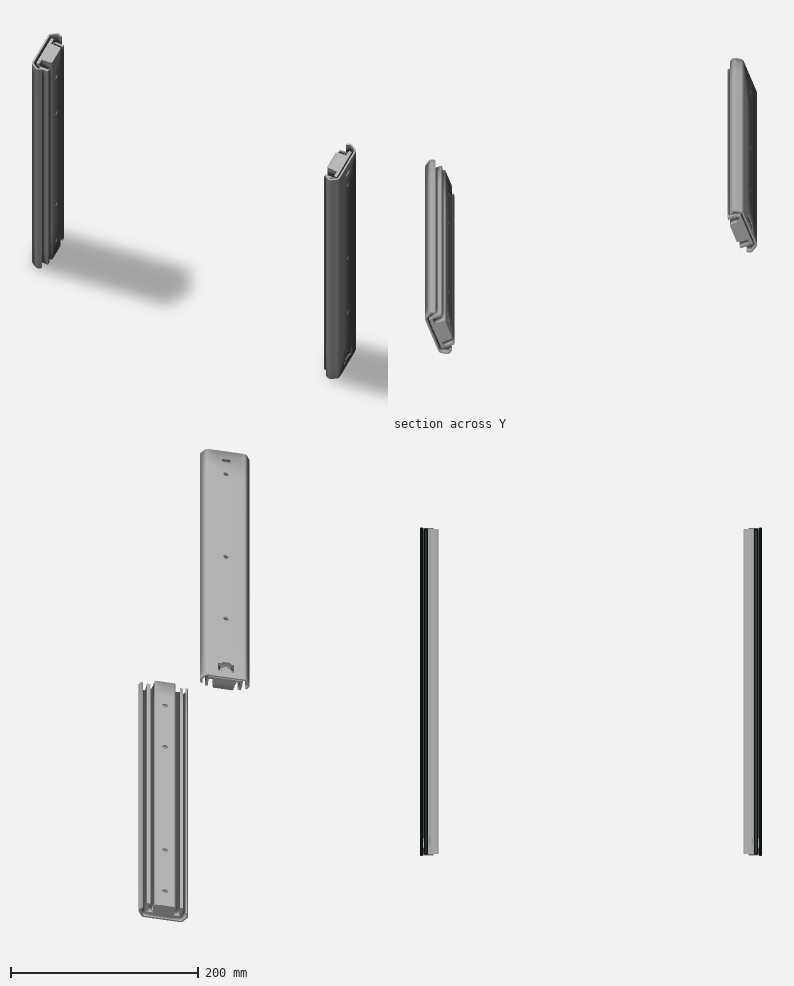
import cadquery as cq
import math

OVERALL_WIDTH = 364.0
OUTER_HEIGHT = 350.0
OUTER_FACE_X = -OVERALL_WIDTH / 2
OUTER_TOP_Z = OUTER_HEIGHT / 2

OUTER_THICKNESS = 2.0
OUTER_SPAN_HALF = 27.0
SLOPE_ANGLE = 33.0
CREST_DEPTH = 9.0
LIP_END_DEPTH = 14.0
OUTER_BEND = 4.0

RAIL_END_GAP = 1.5
MIDDLE_DEPTH = 4.0
MIDDLE_WEB = 3.3
MIDDLE_WEB_HALF = 18.5
RACE_START_DEPTH = 8.5
RACE_OUTER_HALF = 19.5
RACE_THICKNESS = 2.5
RACE_END_DEPTH = 18.5
RACE_LIP = 1.0
FLANGE_TOP_DROP = 7.0
FLANGE_BOTTOM_GAP = 2.5

INNER_FACE_DEPTH = 19.3
INNER_HALF = 11.5
INNER_WEB = 1.5
INNER_FLANGE = 3.0
INNER_CORNER = 1.0
TAPER_DEPTH = 15.0
TAPER_DROP = 0.5
RIDGE_HEIGHT = 1.0
RIDGE_DEPTH = 9.5

CORE_SEAT = 1.0

HOLE_DIAMETER = 6.0
HOLE_SMALL_DIAMETER = 4.0
OUTER_HOLE_DROPS = (35.0, 163.0, 259.0)
INNER_HOLE_DROPS = (38.2, 102.3, 262.5, 326.0)

SLOT_WIDTH = 9.5
SLOT_HEIGHT = 4.0
SLOT_TOP_DROP = 12.5
SLOT_CORNER = 1.5

WINDOW_HALF = 8.7
WINDOW_BOTTOM_RISE = 8.0
WINDOW_TOP_RISE = 20.5
NECK_HALF = 4.7
NECK_TOP_RISE = 23.0
SILL_RISE = 11.0

CATCH_HALF = 8.5
CATCH_APEX_RISE = 18.2
CATCH_EAVE_RISE = 11.3
CATCH_ARCH_RISE = 12.5

SLIT_START = 6.2
SLIT_END = 7.5

RAIL_TOP_Z = OUTER_TOP_Z - RAIL_END_GAP
RAIL_BOTTOM_Z = -RAIL_TOP_Z
MIDDLE_INNER_DEPTH = MIDDLE_DEPTH + MIDDLE_WEB
INNER_WEB_DEPTH = INNER_FACE_DEPTH - INNER_WEB
CORE_HALF = INNER_HALF - INNER_FLANGE


def prism(points, bottom_z, top_z):
    """Upright prism from (depth, y) points."""
    placed = [(OUTER_FACE_X + depth, y) for depth, y in points]
    base = cq.Workplane("XY").workplane(offset=bottom_z)
    return base.polyline(placed).close().extrude(top_z - bottom_z)


def bar(start_depth, end_depth, half_width, bottom_z, top_z):
    """Upright bar, centred on y = 0."""
    points = [
        (start_depth, -half_width),
        (end_depth, -half_width),
        (end_depth, half_width),
        (start_depth, half_width),
    ]
    return prism(points, bottom_z, top_z)


def web_plane(depth):
    """Plane parallel to the webs, with y and z as its axes."""
    return cq.Workplane("YZ").workplane(offset=OUTER_FACE_X + depth)


def web_plate(half_outline, start_depth, end_depth):
    """Symmetric plate between two depths; the outline is (y, rise above the outer bottom end)."""
    right = [(y, rise - OUTER_TOP_Z) for y, rise in half_outline]
    left = [(-y, z) for y, z in reversed(right) if y > 0]
    return web_plane(start_depth).polyline(right + left).close().extrude(end_depth - start_depth)


def hole_circles(drops, depth):
    """Hole outlines on a plane at the given depth."""
    centres = [(0, OUTER_TOP_Z - drop) for drop in drops]
    return web_plane(depth).pushPoints(centres).circle(HOLE_DIAMETER / 2)


def round_corners(sheet, corners, radius):
    """Round the upright edges at the given (depth, y) corners and at their mirror images."""
    for depth, y in corners:
        for side in (-1, 1):
            selector = cq.selectors.NearestToPointSelector((OUTER_FACE_X + depth, side * y, 0))
            sheet = sheet.edges("|Z").edges(selector).fillet(radius)
    return sheet


def make_slot():
    slot = web_plane(0).center(0, OUTER_TOP_Z - SLOT_TOP_DROP - SLOT_HEIGHT / 2)
    slot = slot.rect(SLOT_WIDTH, SLOT_HEIGHT).extrude(OUTER_THICKNESS)
    return slot.edges("|X and <Z").fillet(SLOT_CORNER)


def make_window():
    outline = [
        (NECK_HALF, SILL_RISE),
        (NECK_HALF, WINDOW_BOTTOM_RISE),
        (WINDOW_HALF, WINDOW_BOTTOM_RISE),
        (WINDOW_HALF, WINDOW_TOP_RISE),
        (NECK_HALF, WINDOW_TOP_RISE),
        (NECK_HALF, NECK_TOP_RISE),
    ]
    return web_plate(outline, 0, OUTER_THICKNESS)


def make_outer_holes():
    """Tapered cutters, wide at the outer face."""
    taper = math.degrees(math.atan2((HOLE_DIAMETER - HOLE_SMALL_DIAMETER) / 2, OUTER_THICKNESS))
    return hole_circles(OUTER_HOLE_DROPS, 0).extrude(OUTER_THICKNESS, taper=taper)


def make_outer_sheet():
    slope = math.radians(SLOPE_ANGLE)
    crest_y = OUTER_SPAN_HALF + OUTER_BEND * (1 / math.cos(slope) - 1)
    web_y = crest_y - CREST_DEPTH * math.tan(slope)
    lip_y = crest_y - (LIP_END_DEPTH - CREST_DEPTH) * math.tan(slope)

    inner_crest_y = crest_y - OUTER_THICKNESS / math.cos(slope)
    inner_web_y = inner_crest_y - (CREST_DEPTH - OUTER_THICKNESS) * math.tan(slope)
    inner_lip_depth = LIP_END_DEPTH - OUTER_THICKNESS * math.sin(slope)
    inner_lip_y = lip_y - OUTER_THICKNESS * math.cos(slope)

    outer_corners = [(0, web_y), (CREST_DEPTH, crest_y)]
    inner_corners = [(CREST_DEPTH, inner_crest_y), (OUTER_THICKNESS, inner_web_y)]
    lip_end = [(LIP_END_DEPTH, lip_y), (inner_lip_depth, inner_lip_y)]
    upper = outer_corners + lip_end + inner_corners
    lower = [(depth, -y) for depth, y in reversed(upper)]
    sheet = prism(upper + lower, -OUTER_TOP_Z, OUTER_TOP_Z)
    sheet = round_corners(sheet, outer_corners, OUTER_BEND)
    return round_corners(sheet, inner_corners, OUTER_BEND - OUTER_THICKNESS)


def make_outer_rail():
    rail = make_outer_sheet()
    return rail.cut(make_outer_holes()).cut(make_slot()).cut(make_window())


def make_race():
    """Flange of the middle rail on the +Y side."""
    inner_y = RACE_OUTER_HALF - RACE_THICKNESS
    outline = [
        (MIDDLE_DEPTH, MIDDLE_WEB_HALF),
        (RACE_START_DEPTH, MIDDLE_WEB_HALF),
        (RACE_START_DEPTH, RACE_OUTER_HALF),
        (RACE_END_DEPTH, RACE_OUTER_HALF),
        (RACE_END_DEPTH, inner_y - RACE_LIP),
        (RACE_END_DEPTH - RACE_LIP, inner_y),
        (RACE_START_DEPTH, inner_y),
        (MIDDLE_INNER_DEPTH, inner_y - RACE_LIP),
        (MIDDLE_DEPTH, inner_y - RACE_LIP),
    ]
    bottom_z = FLANGE_BOTTOM_GAP - OUTER_TOP_Z
    return prism(outline, bottom_z, OUTER_TOP_Z - FLANGE_TOP_DROP)


def make_catch():
    outline = [
        (NECK_HALF, CATCH_ARCH_RISE),
        (NECK_HALF, WINDOW_BOTTOM_RISE),
        (CATCH_HALF, WINDOW_BOTTOM_RISE),
        (CATCH_HALF, CATCH_EAVE_RISE),
        (0, CATCH_APEX_RISE),
    ]
    return web_plate(outline, OUTER_THICKNESS, MIDDLE_DEPTH)


def make_slit():
    """Cutter for the slit on the +Y side of the catch."""
    outline = [
        (SLIT_START, CATCH_EAVE_RISE),
        (SLIT_END, CATCH_EAVE_RISE),
        (SLIT_END, WINDOW_TOP_RISE),
        (SLIT_START, WINDOW_TOP_RISE),
    ]
    points = [(y, rise - OUTER_TOP_Z) for y, rise in outline]
    return web_plane(MIDDLE_DEPTH).polyline(points).close().extrude(MIDDLE_WEB)


def make_middle_rail():
    web = bar(MIDDLE_DEPTH, MIDDLE_INNER_DEPTH, MIDDLE_WEB_HALF, RAIL_BOTTOM_Z, RAIL_TOP_Z)
    race = make_race()
    rail = web.union(race).union(race.mirror("XZ")).union(make_catch())
    slit = make_slit()
    return rail.cut(slit).cut(slit.mirror("XZ")).cut(make_core())


def make_inner_rail():
    bevel_y = INNER_HALF - TAPER_DROP
    upper = [
        (INNER_FACE_DEPTH, bevel_y - INNER_CORNER),
        (INNER_FACE_DEPTH - INNER_CORNER, bevel_y),
        (TAPER_DEPTH, INNER_HALF),
        (RIDGE_DEPTH + RIDGE_HEIGHT, INNER_HALF),
        (RIDGE_DEPTH, INNER_HALF + RIDGE_HEIGHT),
        (RIDGE_DEPTH - RIDGE_HEIGHT, INNER_HALF),
        (MIDDLE_INNER_DEPTH, INNER_HALF),
    ]
    lower = [(depth, -y) for depth, y in reversed(upper)]
    rail = prism(upper + lower, RAIL_BOTTOM_Z, RAIL_TOP_Z).cut(make_core())
    return rail.cut(hole_circles(INNER_HOLE_DROPS, INNER_WEB_DEPTH).extrude(INNER_WEB))


def make_core():
    core_start = MIDDLE_INNER_DEPTH - CORE_SEAT
    return bar(core_start, INNER_WEB_DEPTH, CORE_HALF, RAIL_BOTTOM_Z, RAIL_TOP_Z)


outer_rail = make_outer_rail()
middle_rail = make_middle_rail()
inner_rail = make_inner_rail()
core = make_core()

solids = []
for body in (outer_rail, middle_rail, inner_rail, core):
    solids.append(body.val())
    solids.append(body.mirror("YZ").val())

result = cq.Compound.makeCompound(solids)